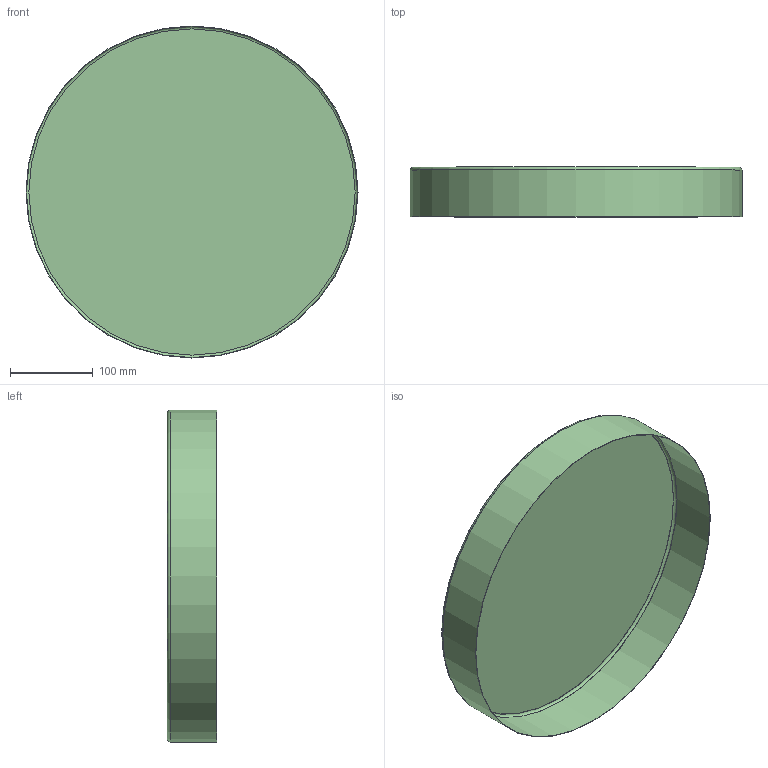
import cadquery as cq

outer_diameter = 401.5
inner_diameter = 400.5
depth = 60.0
outer_bend_radius = 3.5

sheet_thickness = (outer_diameter - inner_diameter) / 2
inner_bend_radius = outer_bend_radius - sheet_thickness


def disc(diameter, length, bend_radius):
    """Solid disc from the open rim at Y = 0 to Y = length, with its far edge rounded."""
    blank = cq.Workplane("XZ").circle(diameter / 2).extrude(-length)
    return blank.faces(">Y").edges().fillet(bend_radius)


outer_form = disc(outer_diameter, depth, outer_bend_radius)
cavity = disc(inner_diameter, depth - sheet_thickness, inner_bend_radius)

result = outer_form.cut(cavity)